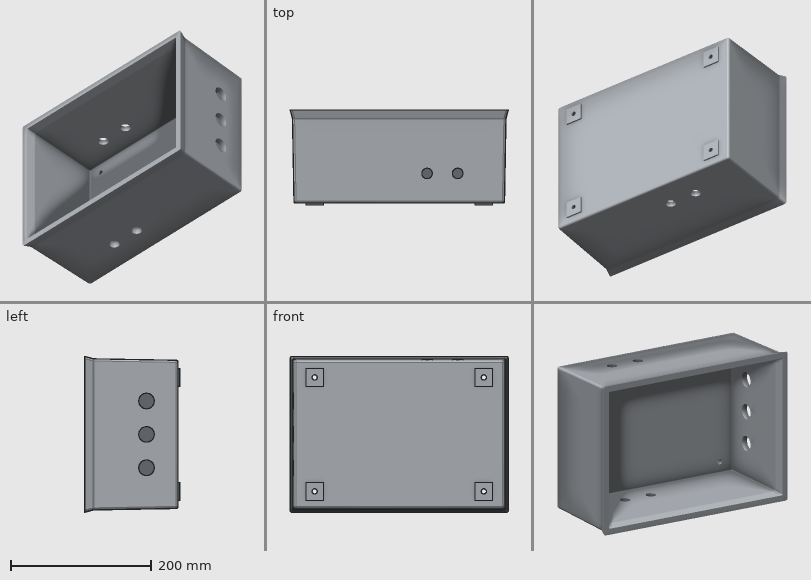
import cadquery as cq
import math

INCH = 25.4

bend_width = 12.0 * INCH
bend_height = 8.5 * INCH
body_depth = 4.75 * INCH
body_draft = 1.0
lip_depth = 0.5 * INCH
lip_flare = 15.0
bend_radius = 0.1875 * INCH
edge_radius = 0.125 * INCH
wall = 0.35 * INCH

pad_size = 1.0 * INCH
pad_thickness = 0.1 * INCH
pad_hole_diameter = 0.28 * INCH
pad_offset_x = 4.75 * INCH
pad_offset_z = 3.2 * INCH

side_hole_diameter = 0.875 * INCH
side_hole_pitch = 1.875 * INCH
side_hole_count = 3
side_hole_setback = 1.775 * INCH

end_hole_diameter = 15.0
end_hole_pitch = 43.7
end_hole_setback = 42.5
upper_pair_center_x = 61.5
lower_pair_center_x = 39.6

front_y = -body_depth
inner_edge_radius = edge_radius / 2
fillet_clearance = 0.03
selection_margin = 0.01


def rounded_frustum(width, height, length, slope, radius):
    """Loft along Y from a rounded rectangle at Y = 0 to one at Y = `length`, widening by `slope` degrees."""
    growth = 2 * abs(length) * math.tan(math.radians(slope))
    near = cq.Sketch().rect(width, height).vertices().fillet(radius)
    far = cq.Sketch().rect(width + growth, height + growth).vertices().fillet(radius)
    far_place = cq.Location(cq.Vector(0, 0, -length))
    return cq.Workplane("XZ").placeSketch(near, far.moved(far_place)).loft(ruled=True)


def flared_tub(inset, floor_y, radius):
    """Solid drafted tub with a flared lip, every wall moved inward by `inset`."""
    width = bend_width - 2 * inset
    height = bend_height - 2 * inset
    body = rounded_frustum(width, height, floor_y, -body_draft, radius)
    body = body.faces("<Y").edges().fillet(radius - fillet_clearance)
    lip = rounded_frustum(width, height, lip_depth, lip_flare, radius)
    bend_edges = cq.selectors.BoxSelector(
        (-bend_width, -selection_margin, -bend_height),
        (bend_width, selection_margin, bend_height),
    )
    return body.union(lip).edges(bend_edges).fillet(bend_radius)


def box_shell():
    """Open-backed box: the outer tub less a matching inner tub."""
    outer = flared_tub(0, front_y, edge_radius)
    inner = flared_tub(wall, front_y + wall, inner_edge_radius)
    return outer.cut(inner)


def pads():
    plane = cq.Workplane("XZ", origin=(0, front_y, 0))
    spots = plane.rarray(2 * pad_offset_x, 2 * pad_offset_z, 2, 2)
    return spots.rect(pad_size, pad_size).extrude(pad_thickness)


def pad_holes():
    """Bores through the floor and the pads."""
    plane = cq.Workplane("XZ", origin=(0, front_y + wall, 0))
    spots = plane.rarray(2 * pad_offset_x, 2 * pad_offset_z, 2, 2)
    return spots.circle(pad_hole_diameter / 2).extrude(wall + pad_thickness)


def side_holes():
    plane = cq.Workplane("YZ", origin=(-bend_width / 2, front_y + side_hole_setback, 0))
    spots = plane.rarray(1, side_hole_pitch, 1, side_hole_count)
    return spots.circle(side_hole_diameter / 2).extrude(bend_width / 2)


def end_holes(center_x, side):
    """Pair of bores through the upper (side = 1) or lower (side = -1) wall."""
    plane = cq.Workplane("XY", origin=(center_x, front_y + end_hole_setback, 0))
    spots = plane.rarray(end_hole_pitch, 1, 2, 1)
    return spots.circle(end_hole_diameter / 2).extrude(side * bend_height / 2)


result = (
    box_shell()
    .union(pads())
    .cut(pad_holes())
    .cut(side_holes())
    .cut(end_holes(upper_pair_center_x, 1))
    .cut(end_holes(lower_pair_center_x, -1))
)